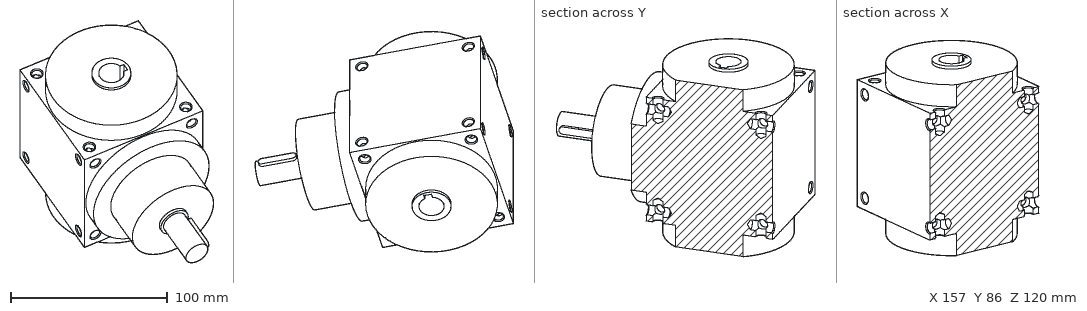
import cadquery as cq
import math

BOX_SIDE = 86.0
BOX_HALF = BOX_SIDE / 2
OVERALL_LENGTH = 157.0
OVERALL_HEIGHT = 120.0

COVER_DIAMETER = 84.0
SHAFT_END_DIAMETER = 25.0
SHAFT_END_RISE = 2.0
COVER_HEIGHT = (OVERALL_HEIGHT - BOX_SIDE) / 2 - SHAFT_END_RISE

BORE_DIAMETER = 16.0
BORE_KEYWAY_REACH = 10.4

FLANGE_LENGTH = 10.2
HUB_DIAMETER = 59.0
HUB_LENGTH = 28.9
COLLAR_DIAMETER = 20.0
COLLAR_LENGTH = 2.0
SHAFT_DIAMETER = 16.0
SHAFT_LENGTH = OVERALL_LENGTH - BOX_SIDE - FLANGE_LENGTH - HUB_LENGTH - COLLAR_LENGTH

KEY_WIDTH = 5.0
KEY_HEIGHT = 5.0
KEY_LENGTH = 25.0
KEY_TOP = COLLAR_DIAMETER / 2
SHAFT_END_X = OVERALL_LENGTH - BOX_HALF
KEY_CENTRE_X = SHAFT_END_X - SHAFT_LENGTH / 2

HOLE_PITCH = 70.0
HOLE_DIAMETER = 6.6
HOLE_MOUTH_DIAMETER = 8.0
HOLE_DEPTH = 15.0
DRILL_POINT_ANGLE = 118.0


def stack_discs(plane_name, start, steps):
    """Coaxial discs, one after another outward from the start distance."""
    stack = cq.Workplane(plane_name)
    position = start
    for diameter, length in steps:
        disc = cq.Workplane(plane_name).workplane(offset=position).circle(diameter / 2).extrude(length)
        stack = stack.union(disc)
        position += length
    return stack


def make_housing_blank():
    """Cube with its covers, shaft ends and stepped input side."""
    cover_steps = (
        (COVER_DIAMETER, COVER_HEIGHT),
        (SHAFT_END_DIAMETER, SHAFT_END_RISE),
    )
    input_steps = (
        (COVER_DIAMETER, FLANGE_LENGTH),
        (HUB_DIAMETER, HUB_LENGTH),
        (COLLAR_DIAMETER, COLLAR_LENGTH),
        (SHAFT_DIAMETER, SHAFT_LENGTH),
    )
    cover = stack_discs("XY", BOX_HALF, cover_steps)
    input_side = stack_discs("YZ", BOX_HALF, input_steps)
    box = cq.Workplane("XY").box(BOX_SIDE, BOX_SIDE, BOX_SIDE)
    return box.union(cover).union(cover.mirror("XY")).union(input_side)


def make_keyed_bore():
    """Cutter for the through bore and its keyway on the +Y side."""
    bore = cq.Workplane("XY").circle(BORE_DIAMETER / 2).extrude(OVERALL_HEIGHT / 2, both=True)
    keyway = cq.Workplane("XY").box(KEY_WIDTH, BORE_KEYWAY_REACH, OVERALL_HEIGHT)
    return bore.union(keyway.translate((0, BORE_KEYWAY_REACH / 2, 0)))


def make_mounting_holes():
    """Cutter for the four countersunk blind holes in the top face of the cube."""
    radius = HOLE_DIAMETER / 2
    mouth_radius = HOLE_MOUTH_DIAMETER / 2
    point_depth = radius / math.tan(math.radians(DRILL_POINT_ANGLE / 2))
    profile = [
        (0, 0),
        (mouth_radius, 0),
        (radius, radius - mouth_radius),
        (radius, -HOLE_DEPTH),
        (0, -HOLE_DEPTH - point_depth),
    ]
    hole = cq.Workplane("XZ").polyline(profile).close().revolve(360, (0, 0), (0, 1)).val()
    corners = cq.Workplane("XY", origin=(0, 0, BOX_HALF)).rect(HOLE_PITCH, HOLE_PITCH, forConstruction=True)
    return corners.vertices().eachpoint(lambda place: hole.moved(place), combine=False)


def make_key():
    """Round-ended key lying along the input shaft."""
    key = cq.Workplane("XZ").slot2D(KEY_LENGTH, KEY_WIDTH).extrude(KEY_HEIGHT)
    return key.translate((KEY_CENTRE_X, KEY_TOP, 0))


def make_housing():
    """Housing with its bore, mounting holes on all six faces, and key seat."""
    housing = make_housing_blank().cut(make_keyed_bore())
    top_holes = make_mounting_holes()
    for turn in (0, 90, 180, 270):
        housing = housing.cut(top_holes.rotate((0, 0, 0), (1, 0, 0), turn))
    for turn in (90, -90):
        housing = housing.cut(top_holes.rotate((0, 0, 0), (0, 1, 0), turn))
    return housing.cut(make_key()).solids()


housing = make_housing()
key = make_key()

result = cq.Compound.makeCompound([housing.val(), key.val()])